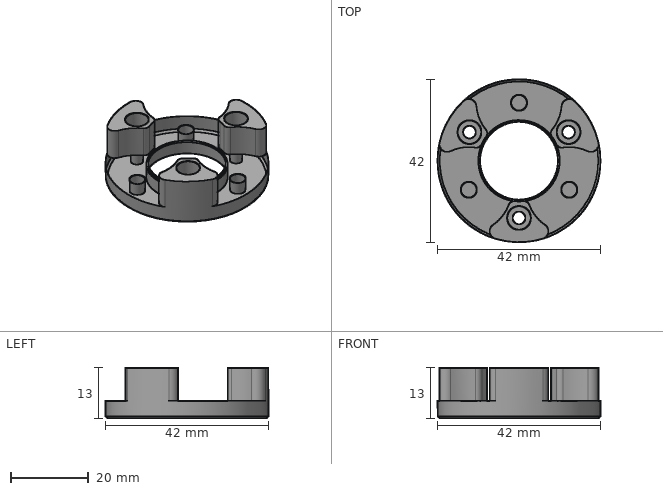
import cadquery as cq
import math

outer_diameter = 42.0
outer_radius = outer_diameter / 2
flange_height = 4.5
total_height = 13.0
bottom_chamfer = 0.6

bore_diameter = 20.0
bore_lip_height = 0.6
bore_relief_diameter = 21.0

jaw_count = 3
jaw_spacing = 360.0 / jaw_count
first_jaw_angle = -90.0
first_gap_angle = first_jaw_angle + jaw_spacing / 2
jaw_inner_radius = 10.5
scallop_radius = 11.0
scallop_center_radius = 14.95
jaw_inner_fillet = 1.5
jaw_tip_fillet = 2.0

screw_circle_radius = 14.73
screw_hole_diameter = 3.2
counterbore_diameter = 6.0
counterbore_depth = total_height - flange_height

blind_circle_radius = 14.93
blind_hole_diameter = 4.0
blind_floor = 1.0
blind_hole_depth = flange_height - blind_floor

mouth_chamfer = 0.1


def points_on_circle(radius, start_angle):
    """Return one point per jaw, evenly spaced around the axis."""
    points = []
    for index in range(jaw_count):
        angle = math.radians(start_angle + index * jaw_spacing)
        points.append((radius * math.cos(angle), radius * math.sin(angle)))
    return points


def cylinders(points, diameter, bottom, top):
    """Return upright cylinders centred on the given points."""
    plane = cq.Workplane("XY").workplane(offset=bottom)
    return plane.pushPoints(points).circle(diameter / 2).extrude(top - bottom)


def flange():
    disc = cq.Workplane("XY").circle(outer_radius).extrude(flange_height)
    return disc.faces("<Z").edges().chamfer(bottom_chamfer)


def jaws():
    """Three jaws with concave flanks and rounded vertical corners."""
    height = total_height - flange_height
    ring = (
        cq.Workplane("XY")
        .workplane(offset=flange_height)
        .circle(outer_radius)
        .circle(jaw_inner_radius)
        .extrude(height)
    )
    scallop_centers = points_on_circle(scallop_center_radius, first_gap_angle)
    scallops = cylinders(scallop_centers, 2 * scallop_radius, flange_height, total_height)
    body = ring.cut(scallops)
    split_radius = (jaw_inner_radius + outer_radius) / 2

    def corner_edges(inner):
        """Select the vertical corners on the inner or the outer side of the jaws."""
        edges = []
        for edge in body.edges("|Z").vals():
            center = edge.Center()
            if (math.hypot(center.x, center.y) < split_radius) == inner:
                edges.append(edge)
        return edges

    inner_corners = corner_edges(True)
    tip_corners = corner_edges(False)
    rounded = body.newObject(inner_corners).fillet(jaw_inner_fillet)
    return rounded.newObject(tip_corners).fillet(jaw_tip_fillet)


def bore():
    """Cutter for the lipped central bore."""
    lip = cylinders([(0, 0)], bore_diameter, 0, flange_height)
    relief = cylinders([(0, 0)], bore_relief_diameter, 0, flange_height - bore_lip_height)
    return lip.union(relief)


def chamfered_holes(points, diameter, depth, top):
    """Cutter for flat-bottomed holes whose mouths have a small chamfer."""
    holes = cylinders(points, diameter, top - depth, top)
    mouths = (
        cq.Workplane("XY")
        .workplane(offset=top)
        .pushPoints(points)
        .circle(diameter / 2 + mouth_chamfer)
        .extrude(-mouth_chamfer, taper=45)
    )
    return holes.union(mouths)


screw_points = points_on_circle(screw_circle_radius, first_jaw_angle)
blind_points = points_on_circle(blind_circle_radius, first_gap_angle)

result = (
    flange()
    .union(jaws())
    .cut(bore())
    .cut(cylinders(screw_points, screw_hole_diameter, 0, total_height))
    .cut(chamfered_holes(screw_points, counterbore_diameter, counterbore_depth, total_height))
    .cut(chamfered_holes(blind_points, blind_hole_diameter, blind_hole_depth, flange_height))
)